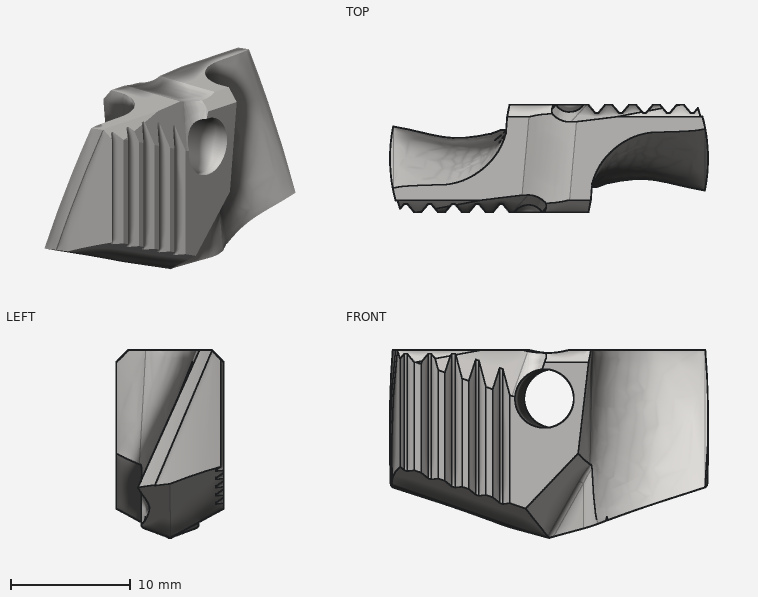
import cadquery as cq
import math

DIAMETER = 26.57
RADIUS = DIAMETER / 2
THICKNESS = 9.0
FACE_Y = THICKNESS / 2
HEIGHT = 15.7
MARGIN = 5.31
HUGE = 79.7

POINT_SLOPE = 0.344
LAND_SLOPE = 0.1
RELIEF_SLOPE = 0.395

GASH_SLOPE_X = 1.05
GASH_SLOPE_Y = -1.0
GASH_ROOT_RADIUS = 0.32
LIP_START = (2.85, -2.07)
LIP_END = (4.84, -2.05)

FLUTE_WALL_TOP = (3.4, -4.78)
FLUTE_FLOOR_TOP = [(3.61, -2.05), (4.33, -0.45), (5.93, 1.17), (7.95, 2.07), (9.57, 2.23), (13.02, 2.47)]
FLUTE_WALL_TIP = (1.38, -4.78)
FLUTE_FLOOR_TIP = [(3.27, -2.92), (4.52, -2.35), (5.93, -2.2), (7.7, -2.35), (9.57, -2.9), (13.02, -4.57)]

MARGIN_RELIEF = 0.15
MARGIN_Y_TOP = -3.53
MARGIN_SLOPE = 0.424

GROOVE_COUNT = 5
GROOVE_PITCH = 2.0
GROOVE_FIRST_X = -3.99
GROOVE_DEPTH = 0.7
GROOVE_MOUTH = 1.43
GROOVE_FLOOR = 0.27

TOP_CHAMFER = 1.04
DIP_HALF_WIDTH = 2.0
DIP_DEPTH = 0.27
BEVEL_CORNER = (-1.75, -3.0)
BEVEL_ARC_MIDDLE = (-0.65, -3.25)
BEVEL_END = (0.0, -3.85)
BEVEL_SLOPE = 0.122
BEVEL_RUN = (-2.0, -2.2, -5.65)

HOLE_RADIUS = 2.45
HOLE_Z = 11.65
CROSS_SKEW = 0.088


def below_plane(slope_x, slope_y):
    """Everything under the plane z = slope_x * x + slope_y * y."""
    plane = cq.Plane(origin=(0, 0, 0), xDir=(1, 0, slope_x), normal=(-slope_x, -slope_y, 1))
    return cq.Workplane(plane).rect(HUGE, HUGE).extrude(-HUGE)


def block(x_min, x_max, y_min, y_max):
    """Tall block used to limit a cutter to one region."""
    box = cq.Workplane("XY").box(x_max - x_min, y_max - y_min, HUGE, centered=False)
    return box.translate((x_min, y_min, -HUGE / 2))


def make_body():
    half_top = FACE_Y - TOP_CHAMFER
    side = [
        (-FACE_Y, -MARGIN),
        (FACE_Y, -MARGIN),
        (FACE_Y, HEIGHT - TOP_CHAMFER),
        (half_top, HEIGHT),
        (-half_top, HEIGHT),
        (-FACE_Y, HEIGHT - TOP_CHAMFER),
    ]
    slab = cq.Workplane("YZ").polyline(side).close().extrude(RADIUS + MARGIN, both=True)
    barrel = cq.Workplane("XY").workplane(offset=-MARGIN).circle(RADIUS).extrude(HEIGHT + 2 * MARGIN)
    return slab.intersect(barrel)


def point_cutters():
    far = RADIUS + MARGIN
    land = below_plane(POINT_SLOPE, LAND_SLOPE).intersect(block(0, far, -far, 0))
    relief = below_plane(POINT_SLOPE, RELIEF_SLOPE).intersect(block(0, far, 0, far))
    return [land, relief]


def gash_cutter():
    far_y = -2 * FACE_Y
    plan = (
        cq.Workplane("XY")
        .workplane(offset=-MARGIN)
        .moveTo(0, 0)
        .lineTo(*LIP_START)
        .tangentArcPoint(LIP_END, relative=False)
        .lineTo(RADIUS, -FACE_Y)
        .lineTo(RADIUS, far_y)
        .lineTo(far_y, far_y)
        .close()
        .extrude(HEIGHT + MARGIN)
    )
    gash = plan.intersect(below_plane(GASH_SLOPE_X, GASH_SLOPE_Y))
    root_z = GASH_SLOPE_X * LIP_START[0] + GASH_SLOPE_Y * LIP_START[1]
    root_middle = (LIP_START[0] / 2, LIP_START[1] / 2, root_z / 2)
    root = gash.edges(cq.selectors.NearestToPointSelector(root_middle))
    return root.fillet(GASH_ROOT_RADIUS)


def flute_section(wall, floor, z):
    far_x = RADIUS + MARGIN
    wall_start = wall
    outer_end = (far_x, floor[-1][1])
    points = [cq.Vector(x, y, z) for x, y in floor]
    corners = [cq.Vector(x, y, z) for x, y in (outer_end, (far_x, wall[1]), wall_start)]
    edges = [
        cq.Edge.makeLine(corners[2], points[0]),
        cq.Edge.makeSpline(points),
        cq.Edge.makeLine(points[-1], corners[0]),
        cq.Edge.makeLine(corners[0], corners[1]),
        cq.Edge.makeLine(corners[1], corners[2]),
    ]
    return cq.Wire.assembleEdges(edges)


def flute_cutter():
    tip = flute_section(FLUTE_WALL_TIP, FLUTE_FLOOR_TIP, 0)
    top = flute_section(FLUTE_WALL_TOP, FLUTE_FLOOR_TOP, HEIGHT)
    return cq.Workplane(cq.Solid.makeLoft([tip, top], True))


def margin_cutter():
    ring = cq.Workplane("XY").circle(RADIUS + MARGIN).circle(RADIUS - MARGIN_RELIEF).extrude(HEIGHT)
    side = [
        (MARGIN_Y_TOP, HEIGHT),
        (MARGIN_Y_TOP + MARGIN_SLOPE * HEIGHT, 0),
        (-RADIUS, 0),
        (-RADIUS, HEIGHT),
    ]
    behind = cq.Workplane("YZ").polyline(side).close().extrude(-HUGE)
    return ring.intersect(behind)


def groove_cutters():
    grooves = []
    for i in range(GROOVE_COUNT):
        x = GROOVE_FIRST_X - i * GROOVE_PITCH
        section = [
            (x - GROOVE_MOUTH / 2, -FACE_Y),
            (x - GROOVE_FLOOR / 2, -FACE_Y + GROOVE_DEPTH),
            (x + GROOVE_FLOOR / 2, -FACE_Y + GROOVE_DEPTH),
            (x + GROOVE_MOUTH / 2, -FACE_Y),
        ]
        grooves.append(cq.Workplane("XY").polyline(section).close().extrude(HEIGHT))
    return grooves


def bevel_cutter():
    far_x = -RADIUS - MARGIN
    far_y = -FACE_Y - MARGIN
    outline = (
        cq.Workplane("XY")
        .workplane(offset=HEIGHT)
        .moveTo(far_x, BEVEL_CORNER[1] + BEVEL_SLOPE * (far_x - BEVEL_CORNER[0]))
        .lineTo(*BEVEL_CORNER)
        .threePointArc(BEVEL_ARC_MIDDLE, BEVEL_END)
        .lineTo(BEVEL_END[0], far_y)
        .lineTo(far_x, far_y)
        .close()
    )
    return cq.Workplane(cq.Solid.extrudeLinear(outline.val(), [], cq.Vector(*BEVEL_RUN)))


def cross_cylinder(radius, z):
    """Cylinder through the part, slightly skewed from Y."""
    length = THICKNESS + 2 * MARGIN
    direction = cq.Vector(CROSS_SKEW, 1, 0)
    start = cq.Vector(0, 0, z) - direction.normalized() * (length / 2)
    return cq.Workplane(cq.Solid.makeCylinder(radius, length, start, direction))


half_cutters = point_cutters() + groove_cutters()
half_cutters += [flute_cutter(), gash_cutter(), margin_cutter(), bevel_cutter()]

result = make_body()
for cutter in half_cutters:
    result = result.cut(cutter)
    result = result.cut(cutter.rotate((0, 0, 0), (0, 0, 1), 180))

result = result.cut(cross_cylinder(HOLE_RADIUS, HOLE_Z))
dip_radius = (DIP_HALF_WIDTH**2 + DIP_DEPTH**2) / (2 * DIP_DEPTH)
result = result.cut(cross_cylinder(dip_radius, HEIGHT - DIP_DEPTH + dip_radius))